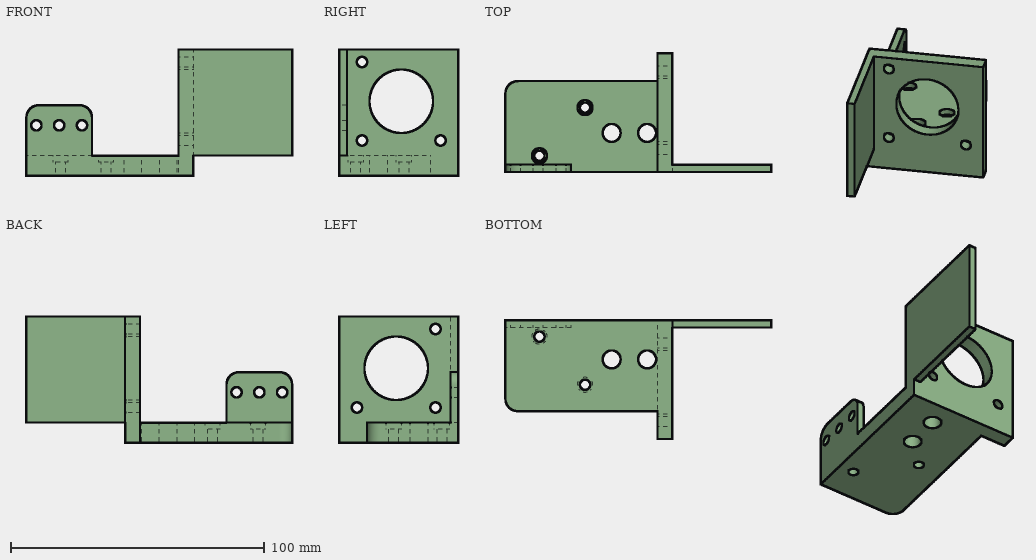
import cadquery as cq

base_width = 36.0
base_thickness = 8.0
corner_radius = 5.0

motor_plate_x = 60.0
motor_plate_thickness = 6.0
motor_plate_width = 47.0
overall_height = 50.0

wall_thickness = 3.0
overall_length = 105.0
tab_length = 26.0
tab_height = 28.0

motor_center_y = 24.5
motor_center_z = 29.5
motor_bore_diameter = 25.0
motor_screw_pitch = 31.0
motor_screw_diameter = 4.0

tab_hole_diameter = 4.0
tab_hole_z = 20.0
tab_hole_pitch = 9.0
tab_hole_count = 3

plain_hole_diameter = 7.0
plain_hole_centers = [(42.0, 15.5), (56.0, 15.5)]
counterbore_centers = [(13.5, 6.5), (31.5, 25.5)]
counterbore_diameter = 6.0
counterbore_depth = 2.5
counterbore_hole_diameter = 4.0


def block(x_start, x_end, width, z_start, z_end):
    """Box between two X and two Z positions, running from Y = 0 to the given width."""
    size = (x_end - x_start, width, z_end - z_start)
    return cq.Workplane("XY").box(*size, centered=False).translate((x_start, 0, z_start))


def make_base():
    base = block(0, motor_plate_x, base_width, 0, base_thickness)
    return base.edges("|Z and <X and >Y").fillet(corner_radius)


def make_tab():
    tab = block(0, tab_length, wall_thickness, 0, tab_height)
    return tab.edges("|Y and >Z").fillet(corner_radius)


def make_motor_plate():
    motor_plate_end = motor_plate_x + motor_plate_thickness
    return block(motor_plate_x, motor_plate_end, motor_plate_width, 0, overall_height)


def make_side_wall():
    return block(motor_plate_x, overall_length, wall_thickness, base_thickness, overall_height)


def cut_motor_holes(body):
    half_pitch = motor_screw_pitch / 2
    screw_offsets = [(-half_pitch, -half_pitch), (half_pitch, -half_pitch), (-half_pitch, half_pitch)]
    plane = cq.Workplane("YZ", origin=(motor_plate_x, motor_center_y, motor_center_z))
    bore = plane.circle(motor_bore_diameter / 2).extrude(motor_plate_thickness)
    screws = plane.pushPoints(screw_offsets).circle(motor_screw_diameter / 2).extrude(motor_plate_thickness)
    return body.cut(bore).cut(screws)


def cut_tab_holes(body):
    row_center_x = tab_length / 2
    holes = (
        cq.Workplane("XZ", origin=(row_center_x, 0, tab_hole_z))
        .rarray(tab_hole_pitch, 1, tab_hole_count, 1)
        .circle(tab_hole_diameter / 2)
        .extrude(-wall_thickness)
    )
    return body.cut(holes)


def base_cylinders(centers, diameter, depth):
    """Vertical cylinders reaching down from the top face of the base."""
    top = cq.Workplane("XY", origin=(0, 0, base_thickness))
    return top.pushPoints(centers).circle(diameter / 2).extrude(-depth)


def cut_base_holes(body):
    plain_holes = base_cylinders(plain_hole_centers, plain_hole_diameter, base_thickness)
    screw_holes = base_cylinders(counterbore_centers, counterbore_hole_diameter, base_thickness)
    counterbores = base_cylinders(counterbore_centers, counterbore_diameter, counterbore_depth)
    return body.cut(plain_holes).cut(screw_holes).cut(counterbores)


body = make_base().union(make_tab()).union(make_motor_plate()).union(make_side_wall())
body = cut_motor_holes(body)
body = cut_tab_holes(body)
result = cut_base_holes(body)